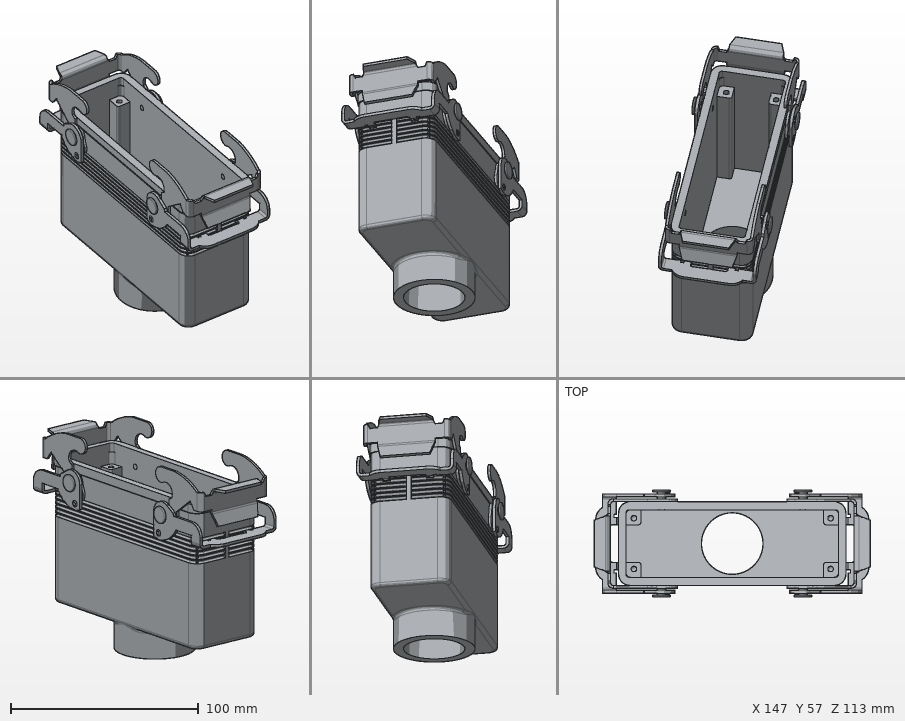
import cadquery as cq
import math


body_half_length = 60.1
body_half_width = 21.9
body_corner_radius = 6.2
body_bottom = 16.2
bottom_edge_radius = 2.0
rim_base = 92.2
rim_top = 97.1
rim_overhang = 0.5

cavity_half_length = 56.6
cavity_half_width = 18.0
cavity_floor = 20.0
cavity_corner_radius = 2.4
mouth_corner_radius = 1.6

outlet_radius = 21.8
outlet_bore_radius = 16.3
outlet_fillet_radius = 1.9

boss_length = 8.0
boss_width = 8.0
boss_top = 85.4
boss_edge_radius = 1.3
boss_root = 1.5
boss_hole_x = 52.3
boss_hole_y = 13.5
boss_hole_radius = 1.5
boss_hole_depth = 11.8
drill_tip_angle = 118.0

groove_bottom = 64.1
groove_top = 78.5
groove_depth = 1.3
rib_count = 5
rib_thickness = 0.7
groove_root_radius = 0.9
end_strip_width = 2.6

pivot_x = -37.6
pivot_z = 88.0
pin_radius = 1.5
spacer_radius = 2.4
head_radius = 4.7
head_thickness = 1.2
head_edge_radius = 0.5
head_outer_y = 28.5

hook_thickness = 1.5
hook_outer_y = 23.8
hook_inner_y = hook_outer_y - hook_thickness
hook_top = 113.0
hook_end_x = -66.1
hook_side_bottom = 95.2
hook_side_top = 105.7
hook_bend_radius = 2.8
nose_radius = 4.3
nose_x = -33.4
throat_radius = 5.3
throat_z = 100.1
nose_tip_angle = math.radians(-20)
throat_mid_angle = math.radians(130)
throat_end_angle = math.radians(200)
back_start_x = -63.2
back_mid = (-54.8, 110.5)
back_end_x = -45.0
neck_right_x = -40.3
neck_right_top = 96.7
notch_peak = (-57.6, 99.6)
notch_start_x = -61.0
foot_left_x = -46.6
foot_left_top = 91.1
foot_left_bottom = 86.0
foot_left_mid = (-44.2, 80.5)
foot_bottom = 77.7
foot_bottom_right_x = -33.8
foot_right_mid = (-31.7, 79.4)
foot_right = (-31.2, 83.0)
foot_radius = 4.7

tab_tip_x = -73.5
tab_top = 106.8
tab_bend_radius = 1.3
tab_tip_half_width = 12.5
tab_root_half_width = 14.7
relief_outer_half_width = 19.8
relief_inner_half_width = 15.9
relief_bottom = 103.3
relief_shoulder_half_width = 20.9
flap_half_width = 15.7
flap_tip_half_width = 13.5
flap_kink_z = 93.3
flap_bend_radius = 2.6
flap_tip_x = -69.2
flap_tip_z = 86.0
flap_tip_drop = 0.3

handle_thickness = 1.6
handle_outer_y = 26.5
handle_inner_y = handle_outer_y - handle_thickness
handle_bend_radius = 2.8
handle_end_x = -69.1
handle_leg_x = -61.7
arm_top = 89.2
arm_bottom = 82.0
strap_bottom = 75.7
strap_top = strap_bottom + handle_thickness
strap_bulge_x = -72.8
strap_bulge_half_width = 12.5
strap_shoulder_half_width = 19.3
strap_bulge_radius = 8.1
elbow_radius = 7.3
disc_radius = 7.0
disc_start_angle = math.radians(120)
arm_end_x = -47.2
shoulder = (-46.6, 90.8)
lobe_right_bottom = 74.5
lobe_corner_mid = (-32.6, 73.6)
lobe_bottom_x = -35.9
lobe_bottom = 73.3
lobe_left_mid = (-43.5, 76.1)
lobe_left_x = -49.1

window_x = -64.8
window_half_width = 10.0
window_corner_radius = 1.2
tongue_outer_half_width = 14.0
notch_x = -62.9
notch_outer_half_width = 15.6
tongue_tip_x = -60.3
tongue_drop = 0.7

stud_x = -34.7
stud_z = 77.0
stud_radius = 1.8
stud_tip_radius = 1.0
stud_height = 0.5


def point_on_circle(centre_x, centre_z, radius, angle):
    """Point on a circle in the X-Z plane, with the angle measured from +X towards +Z."""
    return (centre_x + radius * math.cos(angle), centre_z + radius * math.sin(angle))


def rounded_block(half_length, half_width, corner_radius, bottom, top):
    """Upright block centred on the Z axis with rounded vertical edges."""
    block = cq.Workplane("XY").workplane(offset=bottom)
    block = block.rect(2 * half_length, 2 * half_width).extrude(top - bottom)
    return block.edges("|Z").fillet(corner_radius)


def both_sides(shape):
    """Join a shape on the +Y side with its mirror image."""
    return shape.union(shape.mirror("XZ"))


def with_mirror_half(points):
    """Close a half outline of (y, z) points with its mirror image across y = 0."""
    return points + [(-y, z) for y, z in reversed(points)]


def side_plate(outline, inner_y, thickness):
    """Plate of an X-Z outline, reaching in +Y from inner_y. The outline is a function that sketches it."""
    sketch = outline(cq.Workplane("XZ", origin=(0, inner_y, 0)))
    return sketch.extrude(-thickness)


def y_cylinder(x, z, radius, start_y, end_y):
    """Cylinder along Y."""
    start = cq.Workplane("XZ", origin=(x, start_y, z))
    return start.circle(radius).extrude(start_y - end_y)


def edges_near(x_range, y, z_range):
    """Selector for edges whose centre lies close to y inside the given ranges."""
    margin = 0.07
    low = (x_range[0] - margin, y - margin, z_range[0] - margin)
    high = (x_range[1] + margin, y + margin, z_range[1] + margin)
    return cq.selectors.BoxSelector(low, high)


def make_body():
    """Plain outer body with a rounded bottom edge and a band of ribs between round-bottomed grooves."""
    body = rounded_block(body_half_length, body_half_width, body_corner_radius, body_bottom, rim_top)
    body = body.faces("<Z").edges().fillet(bottom_edge_radius)
    core = rounded_block(
        body_half_length - groove_depth, body_half_width - groove_depth,
        body_corner_radius - groove_depth, groove_bottom, groove_top,
    )
    groove_height = (groove_top - groove_bottom - rib_count * rib_thickness) / (rib_count + 1)
    pitch = groove_height + rib_thickness
    root_zone = cq.selectors.BoxSelector(
        (-body_half_length, -body_half_width, groove_bottom),
        (body_half_length, body_half_width, groove_top),
    )
    for index in range(rib_count + 1):
        base = groove_bottom + index * pitch
        slab = cq.Workplane("XY").workplane(offset=base)
        slab = slab.rect(3 * body_half_length, 4 * body_half_width).extrude(groove_height)
        ring = slab.cut(core)
        body = body.cut(ring.edges("#Z").edges(root_zone).fillet(groove_root_radius))
    strip = cq.Workplane("XY").workplane(offset=groove_bottom)
    strip = strip.rect(2 * body_half_length, end_strip_width).extrude(groove_top - groove_bottom)
    return body.union(strip)


def add_outlet(body):
    """Join the round outlet under the body and blend it into the bottom."""
    outlet = cq.Workplane("XY").circle(outlet_radius).extrude(cavity_floor)
    joined = body.union(outlet)
    seam_zone = cq.selectors.BoxSelector(
        (-outlet_radius, -outlet_radius, body_bottom - bottom_edge_radius / 2),
        (outlet_radius, outlet_radius, body_bottom + bottom_edge_radius / 2),
    )
    return joined.edges(seam_zone).fillet(outlet_fillet_radius)


def make_boss():
    """Corner boss with a blind screw hole, for the +X +Y corner of the cavity."""
    inner_x = cavity_half_length - boss_length
    inner_y = cavity_half_width - boss_width
    base_z = cavity_floor - boss_root
    boss = cq.Workplane("XY").box(
        boss_length + boss_root, boss_width + boss_root, boss_top - base_z, centered=False,
    )
    boss = boss.translate((inner_x, inner_y, base_z))
    boss = boss.edges("|Z and <X and <Y").fillet(boss_edge_radius)
    tip_depth = boss_hole_radius / math.tan(math.radians(drill_tip_angle / 2))
    hole = (
        cq.Workplane("XZ", origin=(boss_hole_x, boss_hole_y, boss_top))
        .polyline([
            (0, 0),
            (boss_hole_radius, 0),
            (boss_hole_radius, -boss_hole_depth),
            (0, -boss_hole_depth - tip_depth),
        ])
        .close()
        .revolve(360, (0, 0, 0), (0, 1, 0))
    )
    return boss.cut(hole)


def make_housing():
    rim = rounded_block(
        body_half_length + rim_overhang, body_half_width + rim_overhang,
        body_corner_radius, rim_base, rim_top,
    )
    cavity = rounded_block(
        cavity_half_length, cavity_half_width, cavity_corner_radius, cavity_floor, rim_base,
    )
    mouth = rounded_block(
        cavity_half_length, cavity_half_width, mouth_corner_radius, rim_base, rim_top,
    )
    bore = cq.Workplane("XY").circle(outlet_bore_radius).extrude(rim_top)
    housing = add_outlet(make_body()).union(rim)
    housing = housing.cut(cavity).cut(mouth).cut(bore)

    bosses = both_sides(make_boss())
    housing = housing.union(bosses).union(bosses.mirror("YZ"))

    for x in (pivot_x, -pivot_x):
        pin_hole = y_cylinder(x, pivot_z, pin_radius, -hook_inner_y, hook_inner_y)
        housing = housing.cut(pin_hole)
    return housing


def hook_outline(plane):
    """Side of the hook bracket: claw above, neck, and a foot around the pivot."""
    nose_z = hook_top - nose_radius
    nose_angle = math.atan2(nose_z - throat_z, nose_x - pivot_x)
    meeting_point = point_on_circle(pivot_x, throat_z, throat_radius, nose_angle)
    throat_mid = point_on_circle(pivot_x, throat_z, throat_radius, throat_mid_angle)
    throat_end = point_on_circle(pivot_x, throat_z, throat_radius, throat_end_angle)
    nose_tip = point_on_circle(nose_x, nose_z, nose_radius, nose_tip_angle)
    neck_foot_z = pivot_z + math.sqrt(foot_radius**2 - (neck_right_x - pivot_x) ** 2)
    return (
        plane.moveTo(hook_end_x, hook_side_bottom)
        .lineTo(hook_end_x, hook_side_top)
        .lineTo(back_start_x, hook_side_top)
        .threePointArc(back_mid, (back_end_x, hook_top))
        .lineTo(nose_x, hook_top)
        .threePointArc(nose_tip, meeting_point)
        .threePointArc(throat_mid, throat_end)
        .lineTo(neck_right_x, neck_right_top)
        .lineTo(neck_right_x, neck_foot_z)
        .threePointArc((pivot_x, pivot_z + foot_radius), (pivot_x + foot_radius, pivot_z))
        .lineTo(*foot_right)
        .threePointArc(foot_right_mid, (foot_bottom_right_x, foot_bottom))
        .lineTo(pivot_x, foot_bottom)
        .threePointArc(foot_left_mid, (foot_left_x, foot_left_bottom))
        .lineTo(foot_left_x, foot_left_top)
        .lineTo(*notch_peak)
        .lineTo(notch_start_x, hook_side_bottom)
        .close()
    )


def make_hook_end():
    """Bent end sheet of the hook bracket: pull tab, plate and slanted flap."""
    inner_x = hook_end_x + hook_thickness
    bend_z = tab_top - hook_thickness - tab_bend_radius
    bend_x = hook_end_x - tab_bend_radius
    outer_bend = tab_bend_radius + hook_thickness
    diagonal = math.sqrt(0.5)
    profile = (
        cq.Workplane("XZ", origin=(0, hook_outer_y, 0))
        .moveTo(tab_tip_x, tab_top)
        .lineTo(bend_x, tab_top)
        .threePointArc((bend_x + outer_bend * diagonal, bend_z + outer_bend * diagonal), (inner_x, bend_z))
        .lineTo(inner_x, flap_kink_z)
        .lineTo(flap_tip_x + hook_thickness, flap_tip_z - flap_tip_drop)
        .lineTo(flap_tip_x, flap_tip_z + flap_tip_drop)
        .lineTo(hook_end_x, flap_kink_z)
        .lineTo(hook_end_x, bend_z)
        .threePointArc(
            (bend_x + tab_bend_radius * diagonal, bend_z + tab_bend_radius * diagonal),
            (bend_x, bend_z + tab_bend_radius),
        )
        .lineTo(tab_tip_x, tab_top - hook_thickness)
        .close()
        .extrude(2 * hook_outer_y)
    )
    for x, radius in ((hook_end_x, flap_bend_radius), (inner_x, flap_bend_radius + hook_thickness)):
        kink = edges_near((x, x), 0, (flap_kink_z, flap_kink_z))
        profile = profile.edges(kink).fillet(radius)
    half_centre = [
        (flap_tip_half_width, flap_tip_z - flap_tip_drop),
        (flap_half_width, flap_kink_z),
        (flap_half_width, relief_bottom),
        (relief_inner_half_width, relief_bottom),
        (tab_root_half_width, bend_z + tab_bend_radius),
        (tab_root_half_width, tab_top),
    ]
    half_plan = [
        (tab_tip_x, tab_tip_half_width),
        (bend_x, tab_root_half_width),
        (hook_end_x, hook_outer_y),
        (inner_x, hook_outer_y),
    ]
    half_plate = [
        (hook_outer_y, hook_side_bottom),
        (hook_outer_y, hook_side_top),
        (relief_shoulder_half_width, hook_side_top),
        (relief_outer_half_width, relief_bottom),
    ]
    centre = cq.Workplane("YZ", origin=(tab_tip_x, 0, 0)).polyline(with_mirror_half(half_centre))
    centre = centre.close().extrude(inner_x - tab_tip_x)
    plan = cq.Workplane("XY").polyline(half_plan + [(x, -y) for x, y in reversed(half_plan)])
    plan = plan.close().extrude(hook_top)
    plate = cq.Workplane("YZ", origin=(hook_end_x, 0, 0)).polyline(with_mirror_half(half_plate))
    plate = plate.close().extrude(hook_thickness)
    return profile.intersect(centre).intersect(plan).union(plate)


def make_hook():
    side = side_plate(hook_outline, hook_inner_y, hook_thickness)
    hook = both_sides(side).union(make_hook_end())
    z_range = (hook_side_bottom, hook_side_top)
    inner_x = hook_end_x + hook_thickness
    for sign in (1, -1):
        outside = edges_near((hook_end_x, hook_end_x), sign * hook_outer_y, z_range)
        hook = hook.edges("|Z").edges(outside).fillet(hook_bend_radius)
        inside = edges_near((inner_x, inner_x), sign * hook_inner_y, z_range)
        hook = hook.edges("|Z").edges(inside).fillet(hook_bend_radius - hook_thickness)
    return hook


def handle_outline(plane):
    """Side of the handle: leg, elbow, arm, pivot disc and a rounded lobe."""
    elbow_inset = elbow_radius * (1 - math.sqrt(0.5))
    right_x = pivot_x + disc_radius
    disc_start = point_on_circle(pivot_x, pivot_z, disc_radius, disc_start_angle)
    disc_mid = point_on_circle(pivot_x, pivot_z, disc_radius, disc_start_angle / 2)
    return (
        plane.moveTo(handle_end_x, strap_bottom)
        .lineTo(handle_end_x, arm_top - elbow_radius)
        .threePointArc(
            (handle_end_x + elbow_inset, arm_top - elbow_inset),
            (handle_end_x + elbow_radius, arm_top),
        )
        .lineTo(arm_end_x, arm_top)
        .lineTo(*shoulder)
        .lineTo(*disc_start)
        .threePointArc(disc_mid, (right_x, pivot_z))
        .lineTo(right_x, lobe_right_bottom)
        .threePointArc(lobe_corner_mid, (lobe_bottom_x, lobe_bottom))
        .threePointArc(lobe_left_mid, (lobe_left_x, arm_bottom))
        .lineTo(handle_leg_x, arm_bottom)
        .lineTo(handle_leg_x, strap_bottom)
        .close()
    )


def make_strap():
    """Flat strap across the end of the handle, with a bulged grip edge and spring tongues."""
    bulge_centre_x = strap_bulge_x + strap_bulge_radius
    mid_angle = math.acos(1 - (handle_end_x - strap_bulge_x) / strap_bulge_radius) / 2
    mid_x = bulge_centre_x - strap_bulge_radius * math.cos(mid_angle)
    mid_y = strap_bulge_half_width + strap_bulge_radius * math.sin(mid_angle)
    strap = (
        cq.Workplane("XY").workplane(offset=strap_bottom)
        .moveTo(handle_leg_x, handle_outer_y)
        .lineTo(handle_end_x, handle_outer_y)
        .lineTo(handle_end_x, strap_shoulder_half_width)
        .threePointArc((mid_x, mid_y), (strap_bulge_x, strap_bulge_half_width))
        .lineTo(strap_bulge_x, -strap_bulge_half_width)
        .threePointArc((mid_x, -mid_y), (handle_end_x, -strap_shoulder_half_width))
        .lineTo(handle_end_x, -handle_outer_y)
        .lineTo(handle_leg_x, -handle_outer_y)
        .close()
        .extrude(handle_thickness)
    )
    window_reach = 2 * (handle_leg_x - window_x)
    window = cq.Workplane("XY").box(window_reach, 2 * window_half_width, 4 * handle_thickness)
    window = window.edges("|Z").fillet(window_corner_radius)
    strap = strap.cut(window.translate((window_x + window_reach / 2, 0, strap_bottom)))

    notch_width = notch_outer_half_width - tongue_outer_half_width
    notch = cq.Workplane("XY").box(2 * (handle_leg_x - notch_x), notch_width, 4 * handle_thickness)
    notch_y = (notch_outer_half_width + tongue_outer_half_width) / 2
    strap = strap.cut(both_sides(notch.translate((handle_leg_x, notch_y, strap_bottom))))

    def tongue_outline(plane):
        return plane.polyline([
            (handle_leg_x, strap_top),
            (tongue_tip_x, strap_bottom),
            (tongue_tip_x, strap_bottom - tongue_drop),
            (handle_leg_x, strap_bottom - tongue_drop),
        ]).close()

    tongue = side_plate(tongue_outline, window_half_width, tongue_outer_half_width - window_half_width)
    return strap.union(both_sides(tongue))


def make_handle():
    side = side_plate(handle_outline, handle_inner_y, handle_thickness)
    handle = both_sides(side).union(make_strap())
    x_range = (handle_end_x, handle_leg_x)
    for sign in (1, -1):
        outside = edges_near(x_range, sign * handle_outer_y, (strap_bottom, strap_bottom))
        handle = handle.edges("|X").edges(outside).fillet(handle_bend_radius)
        inside = edges_near(x_range, sign * handle_inner_y, (strap_top, strap_top))
        handle = handle.edges("|X").edges(inside).fillet(handle_bend_radius - handle_thickness)
    stud = (
        cq.Workplane("XZ", origin=(stud_x, handle_outer_y, stud_z))
        .circle(stud_radius)
        .workplane(offset=-stud_height)
        .circle(stud_tip_radius)
        .loft()
    )
    return handle.union(both_sides(stud))


def make_pivot_pin():
    """Headed pin on the +Y side, from the inner face of the housing wall to its head."""
    head_inner_y = head_outer_y - head_thickness
    shank = y_cylinder(pivot_x, pivot_z, pin_radius, cavity_half_width, hook_outer_y)
    spacer = y_cylinder(pivot_x, pivot_z, spacer_radius, hook_outer_y, head_inner_y)
    head = y_cylinder(pivot_x, pivot_z, head_radius, head_inner_y, head_outer_y)
    head = head.edges().fillet(head_edge_radius)
    return shank.union(spacer).union(head)


def make_lever():
    """Hook bracket, handle bracket and pivot pins of the -X lever as one solid."""
    return make_hook().union(both_sides(make_pivot_pin())).union(make_handle())


housing = make_housing()
levers = [make_lever()]
levers.append(levers[0].mirror("YZ"))

result = cq.Compound.makeCompound([housing.solids().val(), *[lever.solids().val() for lever in levers]])